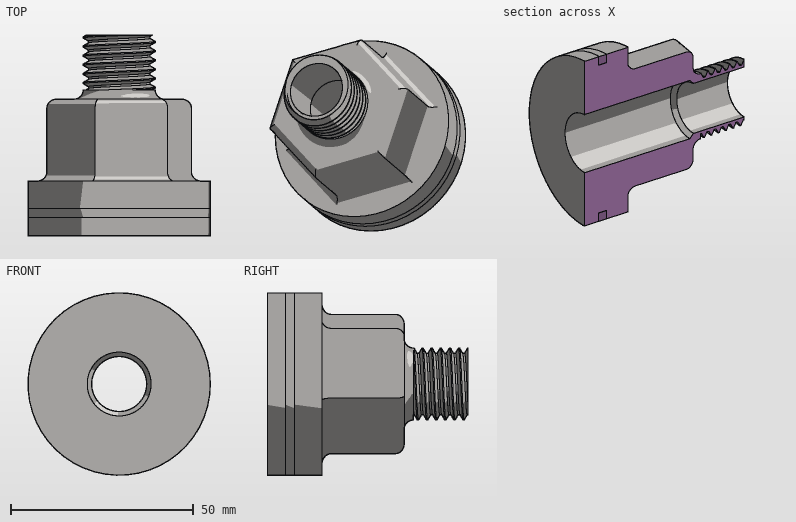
import cadquery as cq
import math

step = 2.5

flange_diameter = 50.0
flange_thickness = 15.0

seal_start = 5.0
seal_width = step
seal_depth = step

hex_across_flats = 35.0
hex_end = 37.5
hex_turn = 11.0
edge_radius = step
selection_margin = 0.1

total_length = 55.0
neck_end = hex_end + step
thread_length = total_length - neck_end
pitch = step
crest_diameter = 19.79
root_diameter = 16.94
crest_flat = pitch / 8
flank_slope = math.tan(math.radians(30))
groove_overcut = 0.1
first_groove_offset = 0.75 * pitch

bore_front_diameter = 17.5
bore_back_diameter = 15.0
bore_cone_length = (bore_front_diameter - bore_back_diameter) / 2
bore_cone_end = hex_end


def seal_ring_blank():
    """Ring that fills the rim groove."""
    inner_diameter = flange_diameter - 2 * seal_depth
    return (
        cq.Workplane("XY", origin=(0, 0, seal_start))
        .circle(flange_diameter / 2)
        .circle(inner_diameter / 2)
        .extrude(seal_width)
    )


def hex_with_flange():
    """Flange and hexagon with a rounded far edge and a filleted foot."""
    hex_corner_diameter = hex_across_flats / math.cos(math.radians(30))
    hexagon = (
        cq.Workplane("XY", origin=(0, 0, flange_thickness))
        .polygon(6, hex_corner_diameter)
        .extrude(hex_end - flange_thickness)
        .faces(">Z")
        .edges()
        .fillet(edge_radius)
        .rotate((0, 0, 0), (0, 0, 1), hex_turn)
    )
    flange = cq.Workplane("XY").circle(flange_diameter / 2).extrude(flange_thickness)
    foot_slab = cq.selectors.BoxSelector(
        (-flange_diameter, -flange_diameter, flange_thickness - selection_margin),
        (flange_diameter, flange_diameter, flange_thickness + selection_margin),
    )
    foot_edges = cq.selectors.SubtractSelector(foot_slab, cq.selectors.TypeSelector("CIRCLE"))
    return flange.union(hexagon).edges(foot_edges).fillet(edge_radius)


def neck():
    """Flared collar between the hexagon and the thread."""
    neck_radius = crest_diameter / 2
    base_radius = neck_radius + edge_radius
    arc_offset = edge_radius * (1 - math.sqrt(0.5))
    return (
        cq.Workplane("XZ")
        .moveTo(0, hex_end)
        .lineTo(base_radius, hex_end)
        .threePointArc((neck_radius + arc_offset, hex_end + arc_offset), (neck_radius, neck_end))
        .lineTo(0, neck_end)
        .close()
        .revolve(360, (0, 0, 0), (0, 1, 0))
    )


def thread_groove():
    """Right-hand trapezoidal groove that runs past both ends of the thread."""
    root_radius = root_diameter / 2
    outer_radius = crest_diameter / 2 + groove_overcut
    groove_half_width = (pitch - crest_flat) / 2
    root_half_width = groove_half_width - (crest_diameter - root_diameter) / 2 * flank_slope
    outer_half_width = root_half_width + (outer_radius - root_radius) * flank_slope
    start = neck_end + first_groove_offset - 2 * pitch
    path = cq.Wire.makeHelix(pitch, thread_length + 3 * pitch, root_radius, cq.Vector(0, 0, start))
    return (
        cq.Workplane("XZ")
        .polyline(
            [
                (root_radius, start - root_half_width),
                (outer_radius, start - outer_half_width),
                (outer_radius, start + outer_half_width),
                (root_radius, start + root_half_width),
            ]
        )
        .close()
        .sweep(cq.Workplane(path), isFrenet=True)
    )


def thread():
    """Cylinder with the helical groove, ending square at both ends."""
    return (
        cq.Workplane("XY", origin=(0, 0, neck_end))
        .circle(crest_diameter / 2)
        .extrude(thread_length)
        .cut(thread_groove())
    )


def bore():
    """Bore that is wide through the flange and hexagon and narrows conically to the spigot."""
    front_radius = bore_front_diameter / 2
    back_radius = bore_back_diameter / 2
    return (
        cq.Workplane("XZ")
        .polyline(
            [
                (0, 0),
                (front_radius, 0),
                (front_radius, bore_cone_end - bore_cone_length),
                (back_radius, bore_cone_end),
                (back_radius, total_length),
                (0, total_length),
            ]
        )
        .close()
        .revolve(360, (0, 0, 0), (0, 1, 0))
    )


def along_y(body):
    """Turn a body from the local Z axis onto the Y axis."""
    return body.rotate((0, 0, 0), (1, 0, 0), -90)


seal_ring = along_y(seal_ring_blank())
housing = along_y(hex_with_flange().union(neck()).union(thread()).cut(bore()).cut(seal_ring_blank()))

result = cq.Compound.makeCompound([housing.solids().val(), seal_ring.val()])